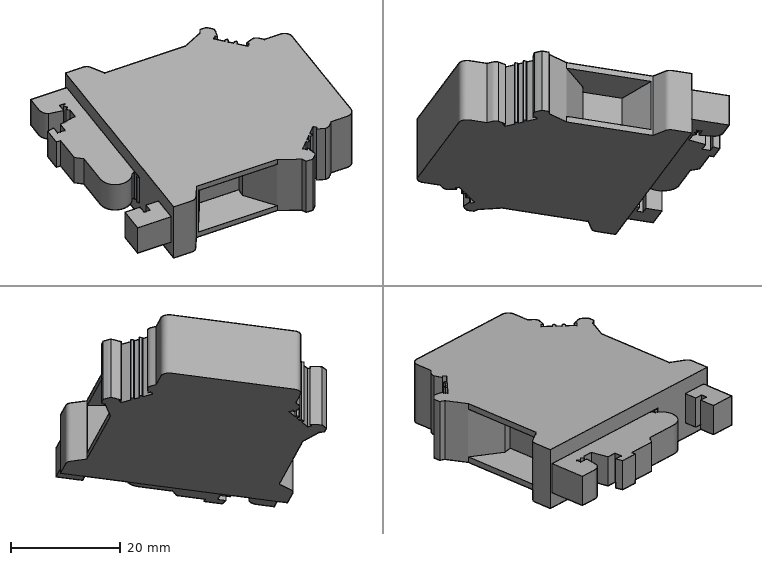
import cadquery as cq
import math

TOTAL_LENGTH = 50.5
HOUSING_WIDTH = 43.0
THICKNESS = 12.2
FOOT_LENGTH = 8.85
FOOT_THICKNESS = 6.05
HOUSING_LENGTH = TOTAL_LENGTH - FOOT_LENGTH

FLANGE_HALF = HOUSING_WIDTH / 2
FLANGE_EDGE_HEIGHT = 4.5
FLANGE_RADIUS = 1.3
WAIST_HALF = 18.2
WAIST_BOTTOM = 6.4
WAIST_TOP = 23.05
CAP_HALF = 13.25
CAP_BOTTOM = 36.75
CAP_RADIUS = 1.55
SHOULDER_START = (13.95, 36.1)
SHOULDER_MIDDLE = (14.3, 35.65)
SHOULDER_END = (14.45, 35.0)

KNOB_HALF = 21.15
KNOB_POINTS = [
    (19.4, 29.9),
    (20.0, 29.95),
    (20.4, 29.65),
    (KNOB_HALF, 28.85),
    (KNOB_HALF, 27.85),
    (21.1, 27.5),
    (20.25, 27.05),
]

SEAT_TOP = (12.9, 33.15)
SEAT_BOTTOM = (17.65, 28.55)
SEAT_LENGTH = math.dist(SEAT_TOP, SEAT_BOTTOM)
LIP_HEIGHT = 0.8
LIP_OVERHANG = 0.5
SEAT_RIB_STARTS = (2.05, 3.85)
SEAT_RIB_WIDTH = 0.65
SEAT_RIB_SHOULDER = 0.35
SEAT_RIB_PEAK = 0.7

MOUTH_BOTTOM = 6.75
MOUTH_THICKNESS = 9.9
FLOOR_BOTTOM = 10.25
FLOOR_TOP = 18.3
FLOOR_THICKNESS = 7.75
POCKET_DEPTH = 6.15
UPPER_TAPER_DEPTH = 4.7

FOOT_LEFT = -21.0
HOOK_BOTTOM = -7.4
HOOK_ARC_START_X = -17.95
HOOK_ARC_MIDDLE = (-16.7, -7.15)
HOOK_ARC_END = (-15.9, -6.4)
HOOK_TIP_X = -15.4
HOOK_SLOT_X = -17.05
HOOK_SLOT_TOP = -2.4
HOOK_SLOT_BOTTOM = -3.5
LATCH_ROOT_X = -12.95
LATCH_SHOULDER_X = -12.2
LATCH_LIP_X = -11.85
LATCH_TIP_X = -11.5
LATCH_SLOT_TOP = -5.85
LATCH_SLOT_BOTTOM = -7.4
LATCH_SLOT_X = -10.3
LATCH_STEP_X = -8.1
LATCH_STEP_Y = -8.0
RAMP_START_X = -2.7
RAMP_END_X = -1.5
NOSE_CENTER = (4.95, -3.5)
NOSE_RADIUS = 3.1
NOSE_NECK = (6.4, -0.75)
NECK_BASE_X = 5.95

TEETH_PER_GROUP = 2
TOOTH_WIDTH = 1.0
HOOK_TOOTH_DEPTH = 0.55
HOOK_TEETH_GAP = 0.05
HOOK_TEETH_START = HOOK_SLOT_X + HOOK_TEETH_GAP
BASE_TOOTH_DEPTH = 0.35

FIXED_FOOT_LEFT = 15.45
FIXED_FOOT_RIGHT = 20.5
FIXED_FOOT_LENGTH = 6.9
FIXED_SLOT_DEPTH = 1.6
FIXED_SLOT_TOP = -2.55
FIXED_SLOT_BOTTOM = -3.8

OVERLAP = 0.5


def seat_point(along, height):
    """Point at a distance down the marker seat and a height above it."""
    slope_x = (SEAT_BOTTOM[0] - SEAT_TOP[0]) / SEAT_LENGTH
    slope_y = (SEAT_BOTTOM[1] - SEAT_TOP[1]) / SEAT_LENGTH
    return (
        SEAT_TOP[0] + along * slope_x - height * slope_y,
        SEAT_TOP[1] + along * slope_y + height * slope_x,
    )


def seat_points():
    """Lips at both ends of the marker seat and the pointed ribs between them."""
    points = [seat_point(LIP_OVERHANG, LIP_HEIGHT), seat_point(0, LIP_HEIGHT), SEAT_TOP]
    for start in SEAT_RIB_STARTS:
        end = start + SEAT_RIB_WIDTH
        points += [
            seat_point(start, 0),
            seat_point(start, SEAT_RIB_SHOULDER),
            seat_point((start + end) / 2, SEAT_RIB_PEAK),
            seat_point(end, SEAT_RIB_SHOULDER),
            seat_point(end, 0),
        ]
    points += [
        SEAT_BOTTOM,
        seat_point(SEAT_LENGTH, LIP_HEIGHT),
        seat_point(SEAT_LENGTH - LIP_OVERHANG, LIP_HEIGHT),
    ]
    return points


def extrude_centered(sketch, thickness):
    return sketch.extrude(thickness / 2, both=True)


def housing():
    outline = (
        cq.Workplane("XY")
        .moveTo(0, HOUSING_LENGTH)
        .lineTo(CAP_HALF, HOUSING_LENGTH)
        .lineTo(CAP_HALF, CAP_BOTTOM)
        .lineTo(*SHOULDER_START)
        .threePointArc(SHOULDER_MIDDLE, SHOULDER_END)
    )
    for point in seat_points() + KNOB_POINTS:
        outline = outline.lineTo(*point)
    outline = (
        outline
        .lineTo(WAIST_HALF, WAIST_TOP)
        .lineTo(WAIST_HALF, WAIST_BOTTOM)
        .lineTo(FLANGE_HALF, FLANGE_EDGE_HEIGHT)
        .lineTo(FLANGE_HALF, 0)
        .lineTo(0, 0)
        .mirrorY()
    )
    body = extrude_centered(outline, THICKNESS)
    body = body.faces(">Y").edges("|Z").fillet(CAP_RADIUS)
    for side in ("<X", ">X"):
        body = body.faces(side).edges(">Y").fillet(FLANGE_RADIUS)
    return body


def pocket():
    """Recess in the -X waist side; its upper wall runs straight over the last stretch."""
    mouth_x = -WAIST_HALF
    floor_x = mouth_x + POCKET_DEPTH
    length_points = [
        (mouth_x, MOUTH_BOTTOM),
        (floor_x, FLOOR_BOTTOM),
        (floor_x, FLOOR_TOP),
        (mouth_x + UPPER_TAPER_DEPTH, FLOOR_TOP),
        (mouth_x, WAIST_TOP),
    ]
    thickness_points = [
        (mouth_x, -MOUTH_THICKNESS / 2),
        (floor_x, -FLOOR_THICKNESS / 2),
        (floor_x, FLOOR_THICKNESS / 2),
        (mouth_x, MOUTH_THICKNESS / 2),
    ]
    along_length = extrude_centered(cq.Workplane("XY").polyline(length_points).close(), THICKNESS)
    across_thickness = extrude_centered(
        cq.Workplane("XZ").polyline(thickness_points).close(), 2 * HOUSING_LENGTH
    )
    return along_length.intersect(across_thickness)


def latch_foot():
    """Hook and latch that clamp one edge of the rail, ending in a round nose."""
    nose_x, nose_y = NOSE_CENTER
    outline = (
        cq.Workplane("XY")
        .moveTo(FOOT_LEFT, OVERLAP)
        .lineTo(FOOT_LEFT, HOOK_BOTTOM)
        .lineTo(HOOK_ARC_START_X, HOOK_BOTTOM)
        .threePointArc(HOOK_ARC_MIDDLE, HOOK_ARC_END)
        .lineTo(HOOK_TIP_X, HOOK_SLOT_BOTTOM)
        .lineTo(HOOK_SLOT_X, HOOK_SLOT_BOTTOM)
        .lineTo(HOOK_SLOT_X, HOOK_SLOT_TOP)
        .lineTo(LATCH_ROOT_X, HOOK_SLOT_TOP)
        .lineTo(LATCH_SHOULDER_X, LATCH_SLOT_TOP)
        .lineTo(LATCH_SLOT_X, LATCH_SLOT_TOP)
        .lineTo(LATCH_SLOT_X, LATCH_SLOT_BOTTOM)
        .lineTo(LATCH_LIP_X, LATCH_SLOT_BOTTOM)
        .lineTo(LATCH_TIP_X, -FOOT_LENGTH)
        .lineTo(LATCH_STEP_X, -FOOT_LENGTH)
        .lineTo(LATCH_STEP_X, LATCH_STEP_Y)
        .lineTo(RAMP_START_X, LATCH_STEP_Y)
        .lineTo(RAMP_END_X, nose_y - NOSE_RADIUS)
        .lineTo(nose_x, nose_y - NOSE_RADIUS)
        .threePointArc((nose_x + NOSE_RADIUS, nose_y), NOSE_NECK)
        .lineTo(NECK_BASE_X, 0)
        .lineTo(NECK_BASE_X, OVERLAP)
        .close()
    )
    return extrude_centered(outline, FOOT_THICKNESS)


def tooth_pair(start_x, root_y, depth):
    """Two triangular teeth side by side, pointing to -Y from a flat root."""
    outline = cq.Workplane("XY").moveTo(start_x, root_y + OVERLAP).lineTo(start_x, root_y)
    for index in range(TEETH_PER_GROUP):
        left = start_x + index * TOOTH_WIDTH
        outline = outline.lineTo(left + TOOTH_WIDTH / 2, root_y - depth).lineTo(left + TOOTH_WIDTH, root_y)
    outline = outline.lineTo(start_x + TEETH_PER_GROUP * TOOTH_WIDTH, root_y + OVERLAP).close()
    return extrude_centered(outline, FOOT_THICKNESS)


def fixed_foot():
    """Block with a slot that hooks over the other edge of the rail."""
    slot_x = FIXED_FOOT_LEFT + FIXED_SLOT_DEPTH
    points = [
        (FIXED_FOOT_LEFT, OVERLAP),
        (FIXED_FOOT_LEFT, FIXED_SLOT_TOP),
        (slot_x, FIXED_SLOT_TOP),
        (slot_x, FIXED_SLOT_BOTTOM),
        (FIXED_FOOT_LEFT, FIXED_SLOT_BOTTOM),
        (FIXED_FOOT_LEFT, -FIXED_FOOT_LENGTH),
        (FIXED_FOOT_RIGHT, -FIXED_FOOT_LENGTH),
        (FIXED_FOOT_RIGHT, OVERLAP),
    ]
    return extrude_centered(cq.Workplane("XY").polyline(points).close(), FOOT_THICKNESS)


left_pocket = pocket()
result = (
    housing()
    .cut(left_pocket)
    .cut(left_pocket.mirror("YZ"))
    .union(latch_foot())
    .union(tooth_pair(HOOK_TEETH_START, HOOK_SLOT_TOP, HOOK_TOOTH_DEPTH))
    .union(tooth_pair(NECK_BASE_X, 0, BASE_TOOTH_DEPTH))
    .union(fixed_foot())
)